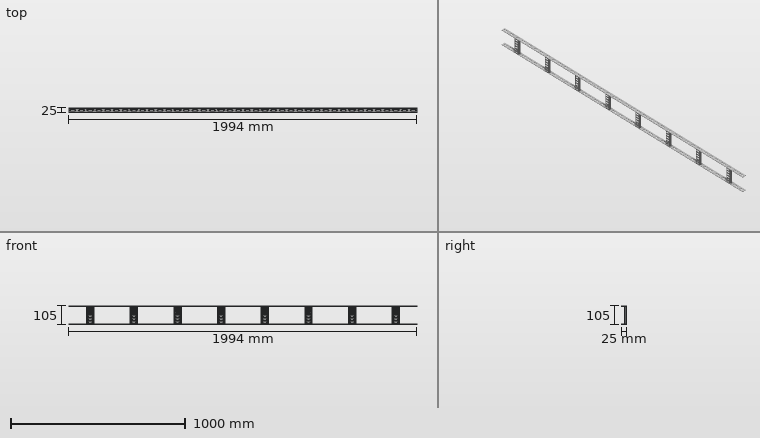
import cadquery as cq
import math

ladder_length = 1994.0
ladder_height = 105.0

rail_width = 25.0
rail_thickness = 3.0
rail_slot_length = 30.0
rail_slot_width = 7.0
rail_slot_count = 40
rail_end_margin = 7.0
rail_slot_pitch = (ladder_length - 2 * rail_end_margin - rail_slot_length) / (rail_slot_count - 1)

rung_count = 8
rail_slots_per_rung = 5
rail_slots_before_first_rung = 2
rung_web_width = 28.0
rung_depth = 11.0
rung_thickness = 1.4
rung_wall_angle = 56.0
rung_slot_length = 22.0
rung_slot_width = 7.0
rung_slot_count = 6
rung_slot_pitch = 17.0

rung_length = ladder_height - 2 * rail_thickness
rung_pitch = rail_slots_per_rung * rail_slot_pitch
first_slot_x = -(rail_slot_count - 1) * rail_slot_pitch / 2
first_rung_x = first_slot_x + rail_slots_before_first_rung * rail_slot_pitch
rung_back_y = rail_width / 2
rung_front_y = rung_back_y - rung_depth


def rail(bottom_z):
    """Flat strip along X with one row of round-ended slots."""
    strip = cq.Workplane("XY").box(ladder_length, rail_width, rail_thickness, centered=(True, True, False))
    slots = (
        cq.Workplane("XY")
        .rarray(rail_slot_pitch, 20, rail_slot_count, 1)
        .slot2D(rail_slot_length, rail_slot_width)
        .extrude(rail_thickness)
    )
    return strip.cut(slots).translate((0, 0, bottom_z))


def rung(center_x):
    """Upright trough: a web along the back edge of the rails, and two walls flaring to the front."""
    angle = math.radians(rung_wall_angle)
    lip_width = rung_thickness / math.sin(angle)
    outer_back = rung_web_width / 2
    outer_front = outer_back + rung_depth / math.tan(angle)
    inner_front = outer_front - lip_width
    inner_back = inner_front - (rung_depth - rung_thickness) / math.tan(angle)
    inner_back_y = rung_back_y - rung_thickness
    trough = (
        cq.Workplane("XY")
        .polyline(
            [
                (-outer_front, rung_front_y),
                (-outer_back, rung_back_y),
                (outer_back, rung_back_y),
                (outer_front, rung_front_y),
                (inner_front, rung_front_y),
                (inner_back, inner_back_y),
                (-inner_back, inner_back_y),
                (-inner_front, rung_front_y),
            ]
        )
        .close()
        .extrude(rung_length / 2, both=True)
    )
    slots = (
        cq.Workplane("XZ", origin=(0, rung_back_y, 0))
        .rarray(20, rung_slot_pitch, 1, rung_slot_count)
        .slot2D(rung_slot_length, rung_slot_width)
        .extrude(rung_thickness)
    )
    return trough.cut(slots).translate((center_x, 0, 0))


lower_rail = rail(-ladder_height / 2)
upper_rail = rail(ladder_height / 2 - rail_thickness)
rungs = [rung(first_rung_x + i * rung_pitch) for i in range(rung_count)]

result = cq.Compound.makeCompound([lower_rail.val(), upper_rail.val(), *[r.val() for r in rungs]])